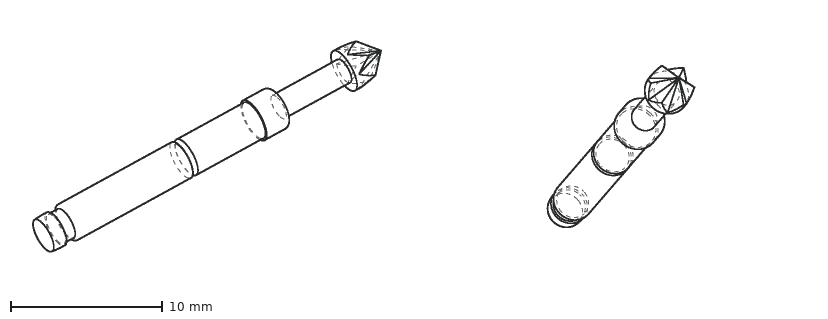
import cadquery as cq
import math


total_length = 27.3

head_diameter = 3.0
head_length = 3.0
point_count = 6
ridge_depth = 1.5
valley_depth = 2.7

stem_diameter = 1.75
stem_length = 5.3

collar_diameter = 3.0
collar_length = 2.0
collar_rounding = 0.35

barrel_diameter = 2.7
barrel_rear_y = 1.8
barrel_rear_rounding = 0.2

groove_width = 0.4
groove_rear_y = 11.15
cutter_overshoot = 0.2

neck_diameter = 2.2

foot_diameter = 2.5
foot_end_diameter = 2.4
foot_length = 1.0
foot_taper_length = 0.6

groove_diameter = barrel_diameter - groove_width
head_rear_y = total_length - head_length
collar_front_y = head_rear_y - stem_length
collar_rear_y = collar_front_y - collar_length


def cylinder(diameter, rear_y, front_y):
    """Round bar on the Y axis between two Y positions."""
    start = cq.Vector(0, rear_y, 0)
    return cq.Workplane(cq.Solid.makeCylinder(diameter / 2, front_y - rear_y, start, cq.Vector(0, 1, 0)))


def star_pyramid():
    """Pyramid with alternating ridges and valleys, reaching from the tip to the rear of the head."""
    tip = cq.Vector(0, total_length, 0)
    rim_radius = head_diameter / 2
    ridge_radius = rim_radius * head_length / ridge_depth
    valley_radius = rim_radius * head_length / valley_depth
    corner_count = 2 * point_count
    corners = []
    for i in range(corner_count):
        radius = valley_radius if i % 2 else ridge_radius
        angle = 2 * math.pi * i / corner_count
        corners.append(cq.Vector(radius * math.cos(angle), head_rear_y, radius * math.sin(angle)))

    faces = [cq.Face.makeFromWires(cq.Wire.makePolygon(corners, close=True))]
    for i in range(corner_count):
        triangle = [corners[i], corners[(i + 1) % corner_count], tip]
        faces.append(cq.Face.makeFromWires(cq.Wire.makePolygon(triangle, close=True)))
    return cq.Workplane(cq.Solid.makeSolid(cq.Shell.makeShell(faces)))


def head():
    """Pointed contact head with the star-shaped tip."""
    return cylinder(head_diameter, head_rear_y, total_length).intersect(star_pyramid())


def collar():
    """Stop collar, rounded at its front edge."""
    return cylinder(collar_diameter, collar_rear_y, collar_front_y).faces(">Y").edges().fillet(collar_rounding)


def ring_groove():
    """Ring cutter with a half-round section, deepest halfway along its width."""
    barrel_radius = barrel_diameter / 2
    section = (
        cq.Workplane("XY")
        .moveTo(barrel_radius + cutter_overshoot, groove_rear_y)
        .lineTo(barrel_radius, groove_rear_y)
        .threePointArc(
            (groove_diameter / 2, groove_rear_y + groove_width / 2),
            (barrel_radius, groove_rear_y + groove_width),
        )
        .lineTo(barrel_radius + cutter_overshoot, groove_rear_y + groove_width)
        .close()
    )
    return section.revolve(360, (0, 0, 0), (0, 1, 0))


def barrel():
    """Main barrel with a rounded rear edge and a ring groove."""
    body = cylinder(barrel_diameter, barrel_rear_y, collar_rear_y)
    return body.faces("<Y").edges().fillet(barrel_rear_rounding).cut(ring_groove())


def foot():
    """Rear foot that curves in gently to its end face."""
    foot_radius = foot_diameter / 2
    section = (
        cq.Workplane("XY")
        .moveTo(0, foot_length)
        .lineTo(foot_radius, foot_length)
        .lineTo(foot_radius, foot_taper_length)
        .tangentArcPoint((foot_end_diameter / 2, 0), relative=False)
        .lineTo(0, 0)
        .close()
    )
    return section.revolve(360, (0, 0, 0), (0, 1, 0))


stem = cylinder(stem_diameter, collar_front_y, head_rear_y)
neck = cylinder(neck_diameter, foot_length, barrel_rear_y)

result = head().union(stem).union(collar()).union(barrel()).union(neck).union(foot())